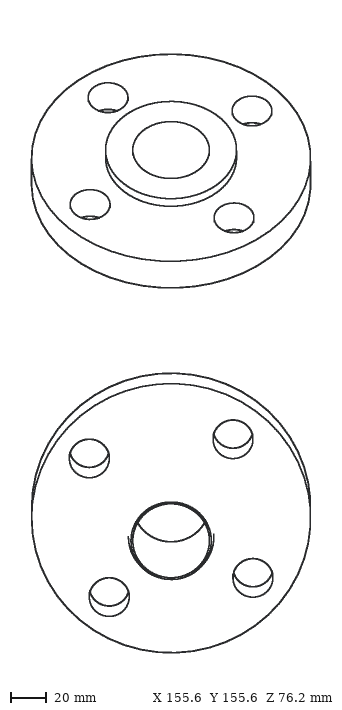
import cadquery as cq
import math

FLANGE_DIAMETER = 155.575
FLANGE_THICKNESS = 22.225
RAISED_FACE_DIAMETER = 73.025
RAISED_FACE_HEIGHT = 6.35
OVERALL_HEIGHT = 76.2

BORE_DIAMETER = 42.72
BOLT_CIRCLE_DIAMETER = 114.3
BOLT_HOLE_DIAMETER = 22.225
BOLT_COUNT = 4

HUB_BASE_DIAMETER = 69.85
HUB_NECK_DIAMETER = 47.625
WELD_END_DIAMETER = 44.8
WELD_TAPER_HEIGHT = 7.9
NECK_BAND_HEIGHT = 0.4
HUB_FILLET_RADIUS = 8.0

flange_radius = FLANGE_DIAMETER / 2
raised_face_radius = RAISED_FACE_DIAMETER / 2
hub_base_radius = HUB_BASE_DIAMETER / 2
hub_neck_radius = HUB_NECK_DIAMETER / 2

flange_top = OVERALL_HEIGHT - RAISED_FACE_HEIGHT
flange_bottom = flange_top - FLANGE_THICKNESS
neck_top = WELD_TAPER_HEIGHT + NECK_BAND_HEIGHT


def hub_fillet_points():
    """Start, middle and end (radial, height) of the arc tangent to the hub taper and the flange."""
    taper_angle = math.atan2(hub_base_radius - hub_neck_radius, flange_bottom - neck_top)
    sweep = math.pi / 2 - taper_angle
    tangent_length = HUB_FILLET_RADIUS * math.tan(sweep / 2)
    center_radius = hub_base_radius + tangent_length
    center_height = flange_bottom - HUB_FILLET_RADIUS
    angles = (math.pi / 2 + sweep, math.pi / 2 + sweep / 2, math.pi / 2)
    return [
        (
            center_radius + HUB_FILLET_RADIUS * math.cos(angle),
            center_height + HUB_FILLET_RADIUS * math.sin(angle),
        )
        for angle in angles
    ]


def make_body():
    """Revolve the outer profile: hub, flange and raised face."""
    fillet_start, fillet_middle, fillet_end = hub_fillet_points()
    profile = (
        cq.Workplane("XZ")
        .lineTo(WELD_END_DIAMETER / 2, 0)
        .lineTo(hub_neck_radius, WELD_TAPER_HEIGHT)
        .lineTo(hub_neck_radius, neck_top)
        .lineTo(*fillet_start)
        .threePointArc(fillet_middle, fillet_end)
        .lineTo(flange_radius, flange_bottom)
        .lineTo(flange_radius, flange_top)
        .lineTo(raised_face_radius, flange_top)
        .lineTo(raised_face_radius, OVERALL_HEIGHT)
        .lineTo(0, OVERALL_HEIGHT)
        .close()
    )
    return profile.revolve(360, (0, 0, 0), (0, 1, 0))


def make_bore():
    """Straight bore through the whole part."""
    return cq.Workplane("XY").circle(BORE_DIAMETER / 2).extrude(OVERALL_HEIGHT)


def make_bolt_holes():
    """Bolt holes through the flange, on the X and Y axes."""
    return (
        cq.Workplane("XY", origin=(0, 0, flange_bottom))
        .polarArray(BOLT_CIRCLE_DIAMETER / 2, 0, 360, BOLT_COUNT)
        .circle(BOLT_HOLE_DIAMETER / 2)
        .extrude(FLANGE_THICKNESS)
    )


result = make_body().cut(make_bore()).cut(make_bolt_holes())